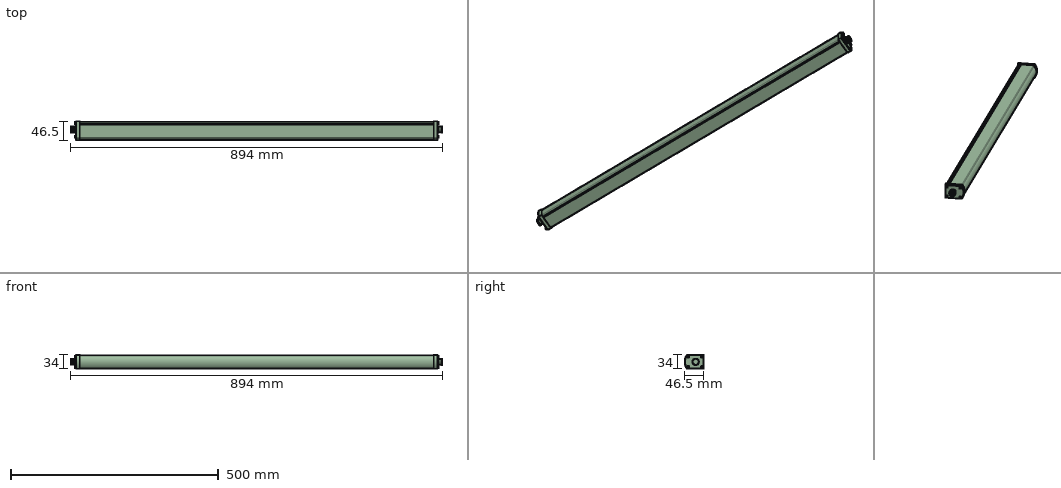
import cadquery as cq

overall_length = 894.0
overall_depth = 46.5
overall_height = 34.0

front_bulge = 6.0
front_corner_radius = 3.0
back_corner_radius = 3.0
body_inset = 1.0
groove_y = 16.0
groove_radius = 1.3

cap_thickness = 10.0
cap_chamfer = 1.3
screw_head_height = 3.0
screw_head_diameter = 5.0
screw_back_y = 19.0
screw_front_y = -14.0
screw_z = 12.5

connector_length = 12.0
connector_y = 4.0
plug_ring_count = 3
plug_ring_diameter = 15.0
plug_core_diameter = 13.0
socket_diameter = 11.0
pin_diameter = 5.0
tip_neck_diameter = 14.0
tip_flange_diameter = 16.0
tip_flange_width = 3.0

back_y = overall_depth / 2
front_y = -overall_depth / 2
cap_end_x = overall_length / 2 - connector_length
body_end_x = cap_end_x - cap_thickness


def rod(x_start, x_end, diameter, y, z=0):
    """Round bar along X between two X positions."""
    return cq.Workplane("YZ", origin=(x_start, y, z)).circle(diameter / 2).extrude(x_end - x_start)


def housing_prism(inset, x_start, x_end):
    """Length of the housing section, with its outline moved inward by the inset."""
    half_height = overall_height / 2 - inset
    back = back_y - inset
    front = front_y + inset
    side_end = front + front_bulge
    prism = (
        cq.Workplane("YZ", origin=(x_start, 0, 0))
        .moveTo(back, -half_height)
        .lineTo(side_end, -half_height)
        .threePointArc((front, 0), (side_end, half_height))
        .lineTo(back, half_height)
        .close()
        .extrude(x_end - x_start)
    )
    return prism.edges("|X").edges("<Y").fillet(front_corner_radius)


def long_body():
    """Body between the caps, with rounded back edges and a groove along the top and the bottom."""
    body = housing_prism(body_inset, -body_end_x, body_end_x)
    body = body.edges("|X").edges(">Y").fillet(back_corner_radius)
    groove_z = overall_height / 2 - body_inset
    for z in (-groove_z, groove_z):
        body = body.cut(rod(-body_end_x, body_end_x, 2 * groove_radius, groove_y, z))
    return body


def end_cap():
    """Cap on the +X end with a chamfered outer face and a screw head near each corner."""
    cap = housing_prism(0, body_end_x, cap_end_x).faces(">X").chamfer(cap_chamfer)
    for y in (screw_back_y, screw_front_y):
        for z in (-screw_z, screw_z):
            cap = cap.union(rod(cap_end_x, cap_end_x + screw_head_height, screw_head_diameter, y, z))
    return cap


def plug():
    """Ringed connector on the -X end, with an open socket and a centre pin."""
    tip_x = -overall_length / 2
    body = rod(tip_x, -cap_end_x, plug_core_diameter, connector_y)
    ring_pitch = connector_length / plug_ring_count
    for index in range(plug_ring_count):
        ring_x = tip_x + index * ring_pitch
        body = body.union(rod(ring_x, ring_x + ring_pitch / 2, plug_ring_diameter, connector_y))
    body = body.cut(rod(tip_x, -cap_end_x, socket_diameter, connector_y))
    return body.union(rod(tip_x, -cap_end_x, pin_diameter, connector_y))


def flanged_tip():
    """Connector on the +X end: a neck between two thin flanges."""
    tip_x = overall_length / 2
    body = rod(cap_end_x, tip_x, tip_neck_diameter, connector_y)
    for flange_x in (cap_end_x, tip_x - tip_flange_width):
        body = body.union(rod(flange_x, flange_x + tip_flange_width, tip_flange_diameter, connector_y))
    return body


right_cap = end_cap()
left_cap = right_cap.mirror("YZ")
result = long_body().union(right_cap).union(left_cap).union(plug()).union(flanged_tip())